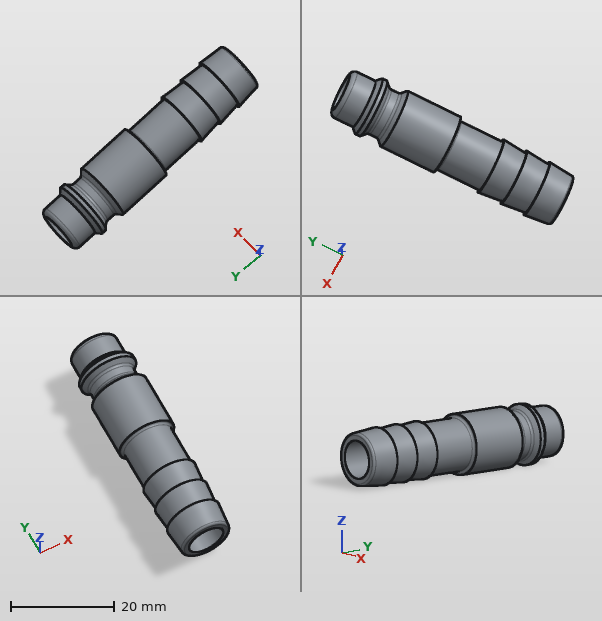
import cadquery as cq
import math


length = 48.0
tail_end = -length / 2
plug_end = length / 2
shoulder_y = plug_end - 23.0
body_chamfer_start = plug_end - 11.5
collar_back = plug_end - 7.0
collar_front = plug_end - 6.0
collar_chamfer_start = plug_end - 5.0

body_radius = 6.0
plug_radius = 5.0
groove_radius = 4.85
tail_radius = 5.25
barb_radius = 5.7
bore_radius = 3.75

plug_rounding = 1.0
tail_rounding = 0.5
shoulder_fillet = 0.5
groove_fillet = 0.8
barb_count = 3
barb_pitch = 5.0

arc_rise = groove_fillet * (1 - math.cos(math.pi / 4))
arc_run = groove_fillet * math.sin(math.pi / 4)
cone_rise = body_radius - groove_radius - arc_rise
flank_run = cone_rise + arc_run
flank_arc_radius = groove_radius + arc_rise


def add_tail(outline):
    """Rounded tip, barbs that widen away from it, then the plain neck up to the shoulder."""
    barb_start = tail_end + tail_rounding
    outline = outline.lineTo(tail_radius - tail_rounding, tail_end)
    outline = outline.radiusArc((tail_radius, barb_start), -tail_rounding)
    for barb in range(1, barb_count + 1):
        barb_back = barb_start + barb * barb_pitch
        outline = outline.lineTo(barb_radius, barb_back)
        outline = outline.lineTo(tail_radius, barb_back)
    outline = outline.lineTo(tail_radius, shoulder_y - shoulder_fillet)
    return outline.radiusArc((tail_radius + shoulder_fillet, shoulder_y), shoulder_fillet)


def add_body_and_groove(outline):
    """Cylindrical body, then the groove between two matching sloped flanks."""
    return (
        outline.lineTo(body_radius, shoulder_y)
        .lineTo(body_radius, body_chamfer_start)
        .lineTo(flank_arc_radius, body_chamfer_start + cone_rise)
        .radiusArc((groove_radius, body_chamfer_start + flank_run), groove_fillet)
        .lineTo(groove_radius, collar_back - flank_run)
        .radiusArc((flank_arc_radius, collar_back - cone_rise), groove_fillet)
        .lineTo(body_radius, collar_back)
    )


def add_plug(outline):
    """Collar with a sloped front, then the rounded plug end."""
    return (
        outline.lineTo(body_radius, collar_front)
        .lineTo(plug_radius, collar_chamfer_start)
        .lineTo(plug_radius, plug_end - plug_rounding)
        .radiusArc((plug_radius - plug_rounding, plug_end), -plug_rounding)
        .lineTo(bore_radius, plug_end)
    )


profile = cq.Workplane("XY").moveTo(bore_radius, tail_end)
profile = add_tail(profile)
profile = add_body_and_groove(profile)
profile = add_plug(profile)

result = profile.close().revolve(360, (0, 0, 0), (0, 1, 0))